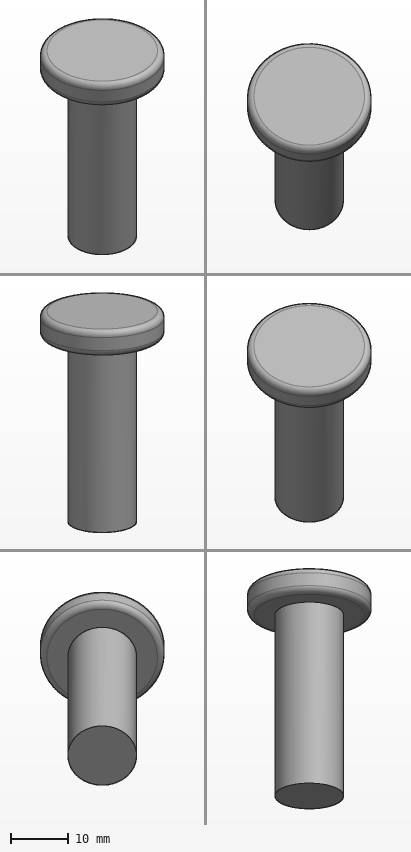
import cadquery as cq

total_length = 38.8
head_diameter = 21.6
head_height = 4.75
head_edge_radius = 1.15
shank_diameter = 12.0

shank_length = total_length - head_height

head = (
    cq.Workplane("XY")
    .workplane(offset=shank_length)
    .circle(head_diameter / 2)
    .extrude(head_height)
    .edges("%CIRCLE")
    .fillet(head_edge_radius)
)

shank = cq.Workplane("XY").circle(shank_diameter / 2).extrude(shank_length)

result = head.union(shank)